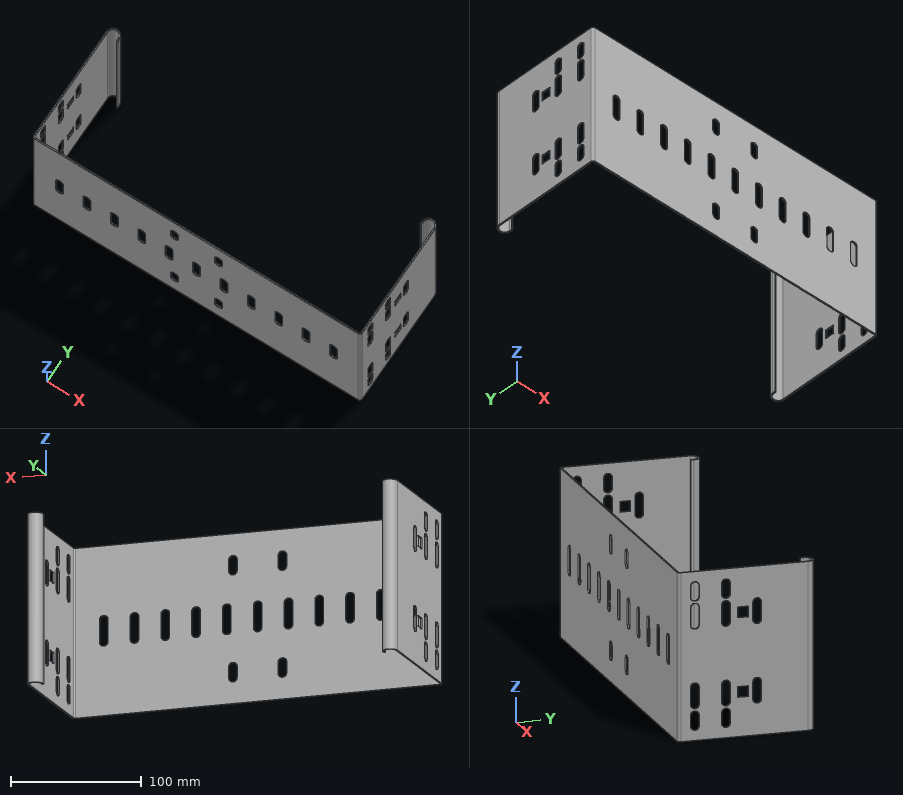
import cadquery as cq

width = 300.0
depth = 110.5
height = 135.0
thickness = 1.2

bend_radius = 2.5
hook_radius = 6.0
hook_drop = 8.5

web_slot_count = 11
slot_pitch = width / (web_slot_count + 1)
slot_width = 7.0
web_slot_length = 24.3
short_slot_length = 15.3
web_short_spacing_x = 40.2
web_short_spacing_z = 85.0

flange_column_count = 3
flange_short_columns = 2
flange_first_column = 13.8
flange_long_length = 20.5
flange_row_z = 31.8
flange_short_z = 51.5
square_size = 8.5
square_column = 52.5

web_y = -depth / 2
cut_depth = 2 * bend_radius


def right_half_channel():
    """Right half of the section: half web, bend, flange and hooked edge, full height."""
    right = width / 2
    hook_x = right - hook_radius
    hook_y = depth / 2 - hook_radius
    lip_x = right - 2 * hook_radius
    lip_y = depth / 2 - hook_drop
    inner_bend = bend_radius - thickness
    inner_hook = hook_radius - thickness
    profile = (
        cq.Workplane("XY", origin=(0, 0, -height / 2))
        .moveTo(0, web_y)
        .lineTo(right - bend_radius, web_y)
        .radiusArc((right, web_y + bend_radius), -bend_radius)
        .lineTo(right, hook_y)
        .threePointArc((hook_x, depth / 2), (lip_x, hook_y))
        .lineTo(lip_x, lip_y)
        .lineTo(lip_x + thickness, lip_y)
        .lineTo(lip_x + thickness, hook_y)
        .threePointArc((hook_x, hook_y + inner_hook), (right - thickness, hook_y))
        .lineTo(right - thickness, web_y + bend_radius)
        .radiusArc((right - bend_radius, web_y + thickness), inner_bend)
        .lineTo(0, web_y + thickness)
        .close()
    )
    return profile.extrude(height)


def upright_slots(plane, points, length):
    """Vertical slot cutters, cut_depth deep on both sides of the plane."""
    return plane.pushPoints(points).slot2D(length, slot_width, 90).extrude(cut_depth, both=True)


def web_cutters():
    """Long slot row and four short slots of the web."""
    plane = cq.Workplane("XZ", origin=(0, web_y, 0))
    middle = (web_slot_count - 1) / 2
    row = [((i - middle) * slot_pitch, 0) for i in range(web_slot_count)]
    corners = [
        (side * web_short_spacing_x / 2, level * web_short_spacing_z / 2)
        for side in (-1, 1)
        for level in (-1, 1)
    ]
    return upright_slots(plane, row, web_slot_length).union(
        upright_slots(plane, corners, short_slot_length)
    )


def flange_cutters(side):
    """Openings of one flange; side is -1 or 1 along X."""
    plane = cq.Workplane("YZ", origin=(side * width / 2, 0, 0))
    columns = [web_y + flange_first_column + i * slot_pitch for i in range(flange_column_count)]
    long_slots = [(y, level * flange_row_z) for y in columns for level in (-1, 1)]
    short_slots = [(y, level * flange_short_z) for y in columns[:flange_short_columns] for level in (-1, 1)]
    squares = [(web_y + square_column, level * flange_row_z) for level in (-1, 1)]
    square_cutters = plane.pushPoints(squares).rect(square_size, square_size).extrude(cut_depth, both=True)
    return (
        upright_slots(plane, long_slots, flange_long_length)
        .union(upright_slots(plane, short_slots, short_slot_length))
        .union(square_cutters)
    )


half = right_half_channel()
channel = half.union(half.mirror("YZ")).clean()
channel = channel.cut(web_cutters())
for flange_side in (-1, 1):
    channel = channel.cut(flange_cutters(flange_side))

result = channel